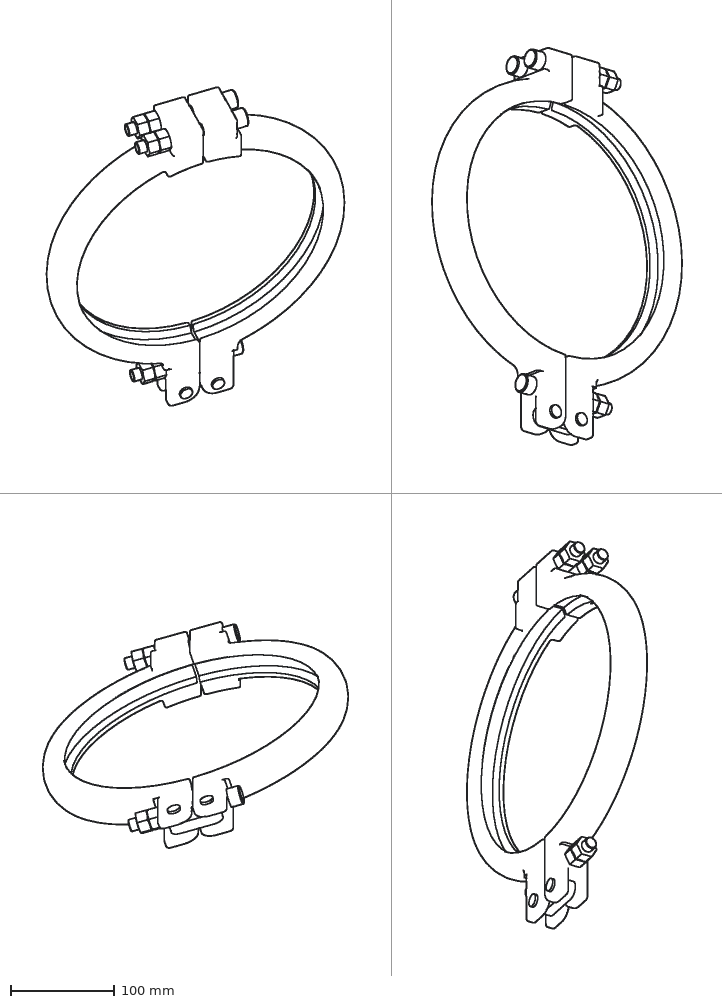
import cadquery as cq
import math

HALF_GAP = 1.35
TOP_Z = 177.0
BOTTOM_Z = -208.0
TOLERANCE = 0.05

RING_WIDTH = 31.0
RING_CROWN_RADIUS = 154.0
RING_EDGE_RADIUS = 148.5
RIM_FILLET = 2.5
BORE_RADIUS = 129.7
BORE_FILLET = 1.5

GROOVE_MOUTH_WIDTH = 20.0
GROOVE_FLOOR_WIDTH = 14.0
GROOVE_DEPTH = 7.7

LUG_WIDTH = 50.0
BOLTED_FACE_Y = 34.3
FOOT_FACE_Y = 38.5
FOOT_Z = 154.5
ROOT_Z = 115.5
LUG_FILLET = 2.5
TOP_BLEND = 2.7
BOTTOM_BLEND = 7.0

PIN_Z = -192.5
PIN_DIAMETER = 12.7
PIN_LENGTH = 36.0
NOSE_RADIUS = PIN_Z - BOTTOM_Z
PIN_Y = HALF_GAP + NOSE_RADIUS
HEEL_RADIUS = 4.5
SLOT_WIDTH = 12.5
SLOT_TOP_Z = -178.0
SLOT_CORNER_RADIUS = 1.0
LINK_WIDTH = 10.8
LINK_HEIGHT = 19.2

BOLT_DIAMETER = 12.0
BOLT_Z = 165.5
TOP_BOLT_X = 13.0
HEAD_DIAMETER = 18.5
HEAD_END_Y = 47.0
BOLT_END_Y = -66.5
HEAD_CHAMFER = 1.0
SHANK_CHAMFER = 0.58
NUT_COUNT = 2
NUT_ACROSS_FLATS = 19.5
NUT_HEIGHT = 12.0
NUT_FACE_DIAMETER = 17.7
NUT_CHAMFER_ANGLE = 15


def edges_where(body, is_wanted):
    """Workplane holding the edges of a body that pass a test on their bounding box."""
    return body.newObject([edge for edge in body.edges().vals() if is_wanted(edge.BoundingBox())])


def near(value, target):
    return abs(value - target) < TOLERANCE


def make_half_disc():
    """The +Y half of a crowned disc that becomes the ring once it is bored."""
    side_x = RING_WIDTH / 2
    disc = (
        cq.Workplane("XY")
        .moveTo(-side_x, 0)
        .lineTo(-side_x, RING_EDGE_RADIUS)
        .threePointArc((0, RING_CROWN_RADIUS), (side_x, RING_EDGE_RADIUS))
        .lineTo(side_x, 0)
        .close()
        .revolve(360, (0, 0), (1, 0))
    )
    size = 3 * RING_CROWN_RADIUS
    positive_side = cq.Workplane("XY").box(size, size, size, centered=(True, False, True))
    return disc.intersect(positive_side.translate((0, HALF_GAP, 0)))


def make_lug():
    """Stepped top lug, rounded except along the inner corner of its step and at its root."""
    lug = (
        cq.Workplane("YZ")
        .moveTo(HALF_GAP, ROOT_Z)
        .lineTo(FOOT_FACE_Y, ROOT_Z)
        .lineTo(FOOT_FACE_Y, FOOT_Z)
        .lineTo(BOLTED_FACE_Y, FOOT_Z)
        .lineTo(BOLTED_FACE_Y, TOP_Z)
        .lineTo(HALF_GAP, TOP_Z)
        .close()
        .extrude(LUG_WIDTH / 2, both=True)
    )

    def is_rounded(box):
        at_root = near(box.zmax, ROOT_Z)
        in_step = near(box.ymin, BOLTED_FACE_Y) and near(box.ymax, BOLTED_FACE_Y) and near(box.zmax, FOOT_Z)
        return not at_root and not in_step

    return edges_where(lug, is_rounded).fillet(LUG_FILLET)


def make_leg():
    """Bottom leg with its nose rounded about the hinge pin, still without its fork slot."""
    nose_45 = NOSE_RADIUS * math.sqrt(0.5)
    heel_45 = HEEL_RADIUS * (1 - math.sqrt(0.5))
    return (
        cq.Workplane("YZ")
        .moveTo(HALF_GAP, -ROOT_Z)
        .lineTo(HALF_GAP, PIN_Z)
        .threePointArc((PIN_Y - nose_45, PIN_Z - nose_45), (PIN_Y, BOTTOM_Z))
        .lineTo(BOLTED_FACE_Y - HEEL_RADIUS, BOTTOM_Z)
        .threePointArc(
            (BOLTED_FACE_Y - heel_45, BOTTOM_Z + heel_45), (BOLTED_FACE_Y, BOTTOM_Z + HEEL_RADIUS)
        )
        .lineTo(BOLTED_FACE_Y, -FOOT_Z)
        .lineTo(FOOT_FACE_Y, -FOOT_Z)
        .lineTo(FOOT_FACE_Y, -ROOT_Z)
        .close()
        .extrude(RING_WIDTH / 2, both=True)
    )


def cut_fork_slot(leg):
    """Slot that splits the leg into two fork arms, with its outer edges rounded."""
    height = SLOT_TOP_Z - BOTTOM_Z
    slot = cq.Workplane("XY").box(SLOT_WIDTH, 2 * FOOT_FACE_Y, height, centered=(True, False, False))
    slot = slot.faces(">Z").edges("|Y").fillet(SLOT_CORNER_RADIUS)
    fork = leg.cut(slot.translate((0, 0, BOTTOM_Z)))

    def is_rounded(box):
        on_slot = max(box.xmax, -box.xmin) < SLOT_WIDTH / 2 + TOLERANCE
        spans_leg = near(box.ymin, HALF_GAP) and near(box.ymax, BOLTED_FACE_Y)
        return on_slot and not spans_leg

    return edges_where(fork, is_rounded).fillet(LUG_FILLET)


def blend_feet(half):
    """Fill the corners where the feet of the lug and the leg meet the ring."""
    def is_corner(box):
        on_foot = near(box.ymin, FOOT_FACE_Y) and near(box.ymax, FOOT_FACE_Y)
        return on_foot and abs(box.center.x) < RING_WIDTH / 2 + TOLERANCE

    def is_top_corner(box):
        return is_corner(box) and box.zmin > 0 and box.zmax < FOOT_Z - LUG_FILLET - TOLERANCE

    def is_bottom_corner(box):
        return is_corner(box) and box.zmax < 0 and box.zmin > -FOOT_Z + TOLERANCE

    half = edges_where(half, is_top_corner).fillet(TOP_BLEND)
    return edges_where(half, is_bottom_corner).fillet(BOTTOM_BLEND)


def is_on_side(box):
    return near(abs(box.xmin), RING_WIDTH / 2) and near(box.xmin, box.xmax)


def round_rims(half):
    """Round the outer edges of the ring down to the step of the leg."""
    def is_rim(box):
        return is_on_side(box) and box.ymax > RING_EDGE_RADIUS - TOLERANCE

    return edges_where(half, is_rim).fillet(RIM_FILLET)


def round_leg(half):
    """Round the side edges of the leg below its step and along the split."""
    def is_leg_edge(box):
        below_step = box.zmax < -FOOT_Z + TOLERANCE and not near(box.zmin, box.zmax)
        along_split = near(box.ymin, HALF_GAP) and near(box.ymax, HALF_GAP)
        return is_on_side(box) and (below_step or along_split)

    return edges_where(half, is_leg_edge).fillet(LUG_FILLET)


def cut_bore(half):
    """Bore with its tapered groove, and the rounded edges where it meets the sides."""
    groove_radius = BORE_RADIUS + GROOVE_DEPTH
    bore = (
        cq.Workplane("XY")
        .moveTo(-LUG_WIDTH, 0)
        .lineTo(-LUG_WIDTH, BORE_RADIUS)
        .lineTo(-GROOVE_MOUTH_WIDTH / 2, BORE_RADIUS)
        .lineTo(-GROOVE_FLOOR_WIDTH / 2, groove_radius)
        .lineTo(GROOVE_FLOOR_WIDTH / 2, groove_radius)
        .lineTo(GROOVE_MOUTH_WIDTH / 2, BORE_RADIUS)
        .lineTo(LUG_WIDTH, BORE_RADIUS)
        .lineTo(LUG_WIDTH, 0)
        .close()
        .revolve(360, (0, 0), (1, 0))
    )
    bored = half.cut(bore)

    def is_bore_edge(edge):
        box = edge.BoundingBox()
        on_side = near(box.xmin, box.xmax) and abs(box.xmin) > RING_WIDTH / 2 - TOLERANCE
        return on_side and edge.geomType() == "CIRCLE" and near(edge.radius(), BORE_RADIUS)

    bore_edges = [edge for edge in bored.edges().vals() if is_bore_edge(edge)]
    return bored.newObject(bore_edges).fillet(BORE_FILLET)


def make_clamp_half():
    half = make_half_disc().union(make_lug()).union(cut_fork_slot(make_leg()))
    return cut_bore(round_leg(round_rims(blend_feet(half))))


def cylinder_along_y(diameter, start_y, end_y):
    length = end_y - start_y
    return cq.Workplane("XZ", origin=(0, end_y, 0)).circle(diameter / 2).extrude(length)


def make_nut(face_y):
    """Hexagon nut reaching from face_y toward -Y, with corners cut back on both ends."""
    plane = cq.Workplane("XZ", origin=(0, face_y, 0))
    corner_diameter = NUT_ACROSS_FLATS / math.cos(math.pi / 6)
    hexagon = plane.polygon(6, corner_diameter).extrude(NUT_HEIGHT)
    corner_cut = (corner_diameter - NUT_FACE_DIAMETER) / 2
    cut_height = corner_cut * math.tan(math.radians(NUT_CHAMFER_ANGLE))
    envelope = (
        plane.circle(corner_diameter / 2)
        .extrude(NUT_HEIGHT)
        .faces("<Y or >Y")
        .edges()
        .chamfer(cut_height, corner_cut)
    )
    return hexagon.intersect(envelope)


def make_bolt():
    """Cap-head bolt along Y with its nuts, clamping between the two bolted faces."""
    shank = cylinder_along_y(BOLT_DIAMETER, BOLT_END_Y, HEAD_END_Y)
    bolt = shank.faces("<Y").chamfer(SHANK_CHAMFER)
    head = cylinder_along_y(HEAD_DIAMETER, BOLTED_FACE_Y, HEAD_END_Y)
    bolt = bolt.union(head.faces(">Y").chamfer(HEAD_CHAMFER))
    for index in range(NUT_COUNT):
        bolt = bolt.union(make_nut(-BOLTED_FACE_Y - index * NUT_HEIGHT))
    return bolt


def make_hinge():
    """Two pins joined by the rounded link that sits in the fork slots."""
    link = (
        cq.Workplane("YZ", origin=(0, 0, PIN_Z))
        .slot2D(2 * PIN_Y + LINK_HEIGHT, LINK_HEIGHT)
        .extrude(LINK_WIDTH / 2, both=True)
    )
    pins = (
        cq.Workplane("YZ")
        .pushPoints([(-PIN_Y, PIN_Z), (PIN_Y, PIN_Z)])
        .circle(PIN_DIAMETER / 2)
        .extrude(PIN_LENGTH / 2, both=True)
    )
    return link.union(pins)


def make_clamp():
    """Both halves and the hinge that holds them together, drilled for the bolts."""
    half = make_clamp_half()
    clamp = half.union(half.mirror("XZ")).union(make_hinge())
    for x, z in BOLT_PLACES:
        hole = cylinder_along_y(BOLT_DIAMETER, -FOOT_FACE_Y, FOOT_FACE_Y)
        clamp = clamp.cut(hole.translate((x, 0, z)))
    return clamp


BOLT_PLACES = [(-TOP_BOLT_X, BOLT_Z), (TOP_BOLT_X, BOLT_Z), (0, -BOLT_Z)]

clamp = make_clamp()
bolts = [make_bolt().translate((x, 0, z)) for x, z in BOLT_PLACES]

result = cq.Compound.makeCompound([clamp.val(), *[bolt.val() for bolt in bolts]])